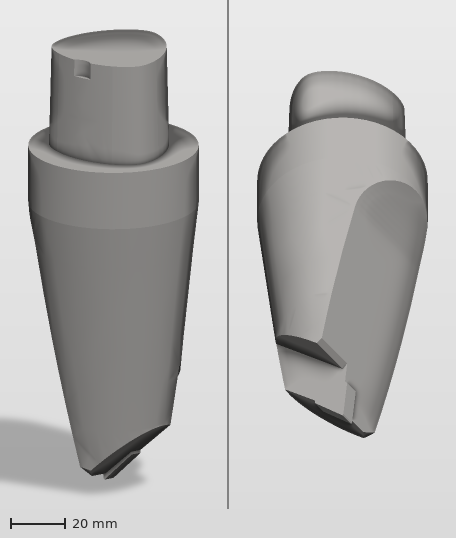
import cadquery as cq
import math

FLANGE_DIAMETER = 63.0
FLANGE_THICKNESS = 22.0
SHANK_HEIGHT = 38.0
TIP_DEPTH = 130.0

SHANK_BASE_WIDTH = 44.4
SHANK_TAPER = 1 / 20
LOBE_HEIGHT = 1.7
FLAT_SIDE_HALF_ANGLE = 22.5
SHANK_EDGE_STEPS = 8
FLAT_SIDE_DIRECTIONS = (30, 150, 270)
SLOT_WIDTH = 7.6
SLOT_HEIGHT = 6.3
SLOT_RADIUS = 5.16

NECK_TIP_RADIUS = 20.3

FACE_LEAN = 12.7
FACE_YAW = 5.4
FACE_ROLL = 9.2
FACE_RECESS = 0.7
RUNOUT_START = 88.5
RUNOUT_RADIUS = 32.0

BLADE_RELIEF = 31.5
BLADE_WALL = 0.0
BLADE_BOTTOM = 2.3
CORNER_START = 15.5
CORNER_ANGLE = 30.0
CORNER_DROP = 18.0
SHELF_BOTTOM = 21.2
SHELF_BEVEL_HEIGHT = 2.0
SHELF_BEVEL_DEPTH = 1.7

INSERT_WIDTH = 6.2
INSERT_LENGTH = 15.1
INSERT_DEPTH = 13.0
INSERT_RELIEF = 34.0
INSERT_RAISE = 0.3
INSERT_EDGE_LAND = 0.5
INSERT_END_BEVEL = 0.8

REACH = 80.0


def make_blade_frame():
    """Frame at the cutting tip, with its z square to the blade face."""
    yaw_slope = math.tan(math.radians(FACE_YAW))
    lean_slope = math.tan(math.radians(FACE_LEAN))
    outward = cq.Vector(-1, -yaw_slope, -lean_slope).normalized()
    roll = math.radians(FACE_ROLL)
    rough_across = cq.Vector(0, -math.cos(roll), math.sin(roll))
    across = rough_across - outward * rough_across.dot(outward)
    return cq.Plane(origin=(0, 0, -TIP_DEPTH), xDir=across, normal=outward)


BLADE = make_blade_frame()
SIDE = cq.Plane(origin=BLADE.origin, xDir=BLADE.yDir, normal=BLADE.xDir)


def side_plane(across):
    """Plane square to the blade face; its x runs up the face and its y out of it."""
    return cq.Workplane(SIDE).workplane(offset=across)


def shank_point(mean_radius, angle, z):
    """Point of the lobed outline whose normal points at the given angle in radians."""
    phase = 3 * (angle - math.pi / 2)
    support = mean_radius + LOBE_HEIGHT * math.cos(phase)
    slope = -3 * LOBE_HEIGHT * math.sin(phase)
    x = support * math.cos(angle) - slope * math.sin(angle)
    y = support * math.sin(angle) + slope * math.cos(angle)
    return cq.Vector(x, y, z)


def shank_edge(mean_radius, first, last, z):
    """Smooth stretch of the lobed outline between two normal angles in degrees."""
    step = math.radians(last - first) / SHANK_EDGE_STEPS
    angles = [math.radians(first) + step * i for i in range(SHANK_EDGE_STEPS + 1)]
    points = [shank_point(mean_radius, angle, z) for angle in angles]
    tangents = [cq.Vector(-math.sin(angle), math.cos(angle), 0) for angle in (angles[0], angles[-1])]
    return cq.Edge.makeSpline(points, tangents=tangents)


def shank_wire(mean_radius, z):
    """Closed outline with three flat sides and three lobes."""
    edges = []
    for side_angle in FLAT_SIDE_DIRECTIONS:
        side_start = side_angle - FLAT_SIDE_HALF_ANGLE
        side_end = side_angle + FLAT_SIDE_HALF_ANGLE
        lobe_end = side_start + 360 / len(FLAT_SIDE_DIRECTIONS)
        edges.append(shank_edge(mean_radius, side_start, side_end, z))
        edges.append(shank_edge(mean_radius, side_end, lobe_end, z))
    return cq.Wire.assembleEdges(edges)


def make_shank():
    """Lobed shank, narrower at the top, with a round-backed slot in its -Y side."""
    base_radius = SHANK_BASE_WIDTH / 2
    top_radius = base_radius - SHANK_TAPER * SHANK_HEIGHT / 2
    wires = [shank_wire(base_radius, 0), shank_wire(top_radius, SHANK_HEIGHT)]
    shank = cq.Workplane(cq.Solid.makeLoft(wires, True))
    side_y = -(top_radius - LOBE_HEIGHT)
    slot_y = side_y - math.sqrt(SLOT_RADIUS**2 - (SLOT_WIDTH / 2) ** 2)
    slot = (
        cq.Workplane("XY", origin=(0, 0, SHANK_HEIGHT - SLOT_HEIGHT))
        .center(0, slot_y)
        .circle(SLOT_RADIUS)
        .extrude(SLOT_HEIGHT)
    )
    return shank.cut(slot)


def make_neck():
    """Cone running from the flange down to the level of the tip."""
    height = TIP_DEPTH - FLANGE_THICKNESS
    return cq.Workplane(
        cq.Solid.makeCone(
            FLANGE_DIAMETER / 2, NECK_TIP_RADIUS, height, pnt=(0, 0, -FLANGE_THICKNESS), dir=(0, 0, -1)
        )
    )


def make_face_cut():
    """Space in front of the blade face, ending at the top in a concave runout."""
    middle_angle = math.radians(45)
    runout_middle = (
        RUNOUT_START + RUNOUT_RADIUS * math.sin(middle_angle),
        RUNOUT_RADIUS * (1 - math.cos(middle_angle)) - FACE_RECESS,
    )
    runout_end = (RUNOUT_START + RUNOUT_RADIUS, RUNOUT_RADIUS - FACE_RECESS)
    return (
        side_plane(-REACH)
        .moveTo(-REACH, -FACE_RECESS)
        .lineTo(RUNOUT_START, -FACE_RECESS)
        .threePointArc(runout_middle, runout_end)
        .lineTo(-REACH, runout_end[1])
        .close()
        .extrude(2 * REACH)
    )


def sloping_prism(outline, rise_angle):
    """Prism from an outline on the holder face, running back into the blade and up by the given angle."""
    corners = [BLADE.toWorldCoords((x, y, -FACE_RECESS)) for x, y in outline]
    rise = math.radians(rise_angle)
    back = (BLADE.yDir * math.sin(rise) - BLADE.zDir * math.cos(rise)) * REACH
    wire = cq.Wire.makePolygon(corners, close=True)
    return cq.Workplane(cq.Solid.extrudeLinear(wire, [], back))


def make_bottom_cut():
    """Space under the blade, running back at the relief angle."""
    outline = [(BLADE_WALL, BLADE_BOTTOM), (REACH, BLADE_BOTTOM), (REACH, -REACH), (BLADE_WALL, -REACH)]
    return sloping_prism(outline, BLADE_RELIEF)


def make_corner_cut():
    """Wedge taken off the outer lower corner of the blade."""
    corner_rise = (REACH - CORNER_START) * math.tan(math.radians(CORNER_ANGLE))
    outline = [(CORNER_START, BLADE_BOTTOM), (REACH, BLADE_BOTTOM + corner_rise), (REACH, BLADE_BOTTOM)]
    return sloping_prism(outline, -CORNER_DROP)


def make_shelf_cut():
    """Space beside the blade, under a shelf with a bevelled front edge."""
    bevel_back = -FACE_RECESS - SHELF_BEVEL_DEPTH
    shelf_rise = REACH * math.tan(math.radians(BLADE_RELIEF))
    profile = [
        (-REACH, -FACE_RECESS),
        (SHELF_BOTTOM + SHELF_BEVEL_HEIGHT, -FACE_RECESS),
        (SHELF_BOTTOM, bevel_back),
        (SHELF_BOTTOM + shelf_rise, bevel_back - REACH),
        (-REACH, bevel_back - REACH),
    ]
    return side_plane(-REACH).polyline(profile).close().extrude(REACH + BLADE_WALL)


def make_insert():
    """Cutting insert with its underside running back from the cutting edge."""
    relief_rise = INSERT_DEPTH * math.tan(math.radians(INSERT_RELIEF))
    profile = [
        (0, 0),
        (INSERT_EDGE_LAND, INSERT_RAISE),
        (INSERT_LENGTH - INSERT_END_BEVEL, INSERT_RAISE),
        (INSERT_LENGTH, INSERT_RAISE - INSERT_END_BEVEL),
        (INSERT_LENGTH, -INSERT_DEPTH),
        (relief_rise, -INSERT_DEPTH),
    ]
    return side_plane(0).polyline(profile).close().extrude(INSERT_WIDTH)


def make_holder(insert):
    """Shank, flange and cut-away neck in one piece, with a seat for the insert."""
    flange = cq.Workplane("XY").circle(FLANGE_DIAMETER / 2).extrude(-FLANGE_THICKNESS)
    neck = make_neck().cut(make_face_cut())
    neck = neck.cut(make_bottom_cut()).cut(make_corner_cut()).cut(make_shelf_cut())
    return flange.union(neck).union(make_shank()).cut(insert)


insert = make_insert()
holder = make_holder(insert)
result = cq.Compound.makeCompound([holder.val(), insert.val()])